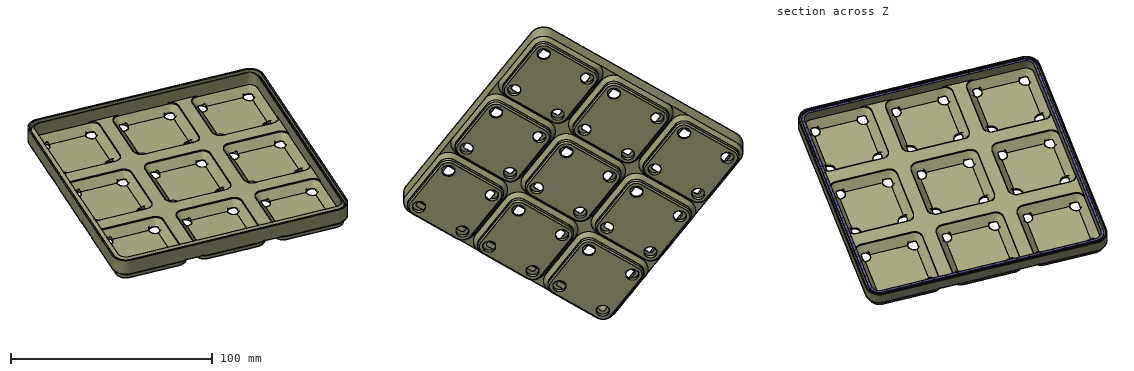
import cadquery as cq
CELL_COUNT = 3
CELL_PITCH = 42.0
EDGE_CLEARANCE = 1.0
TRAY_SIZE = CELL_COUNT * CELL_PITCH - EDGE_CLEARANCE
TRAY_HEIGHT = 12.75

FOOT_GAP = 0.5
FOOT_SIZE = CELL_PITCH - FOOT_GAP
FOOT_RADIUS = 7.5
FOOT_BASE_CHAMFER = 0.8
FOOT_STRAIGHT = 1.8
FOOT_TOP_CHAMFER = 2.15
FOOT_STRAIGHT_TOP_Z = FOOT_BASE_CHAMFER + FOOT_STRAIGHT
FOOT_HEIGHT = FOOT_STRAIGHT_TOP_Z + FOOT_TOP_CHAMFER

CORNER_RADIUS = FOOT_RADIUS - (EDGE_CLEARANCE - FOOT_GAP) / 2

WALL = 3.1
INNER_SIZE = TRAY_SIZE - 2 * WALL
INNER_RADIUS = CORNER_RADIUS - WALL
TRAY_FLOOR_Z = 5.75

RIM_WIDTH = 0.8
GROOVE_WIDTH = 0.75
RIDGE_INSET = RIM_WIDTH + GROOVE_WIDTH
RIDGE_SLOPE_HEIGHT = 1.7
GROOVE_STRAIGHT = 1.0
RIDGE_SLOPE_Z = TRAY_HEIGHT - RIDGE_SLOPE_HEIGHT
GROOVE_Z = RIDGE_SLOPE_Z - GROOVE_STRAIGHT

POCKET_SIZE = CELL_PITCH - EDGE_CLEARANCE - 2 * WALL
POCKET_RADIUS = INNER_RADIUS
POCKET_FLOOR_Z = 1.0
POCKET_TAPER = 4.0
POCKET_SLOPE_TOP_Z = POCKET_FLOOR_Z + POCKET_TAPER

HOLE_DIAMETER = 6.5
HOLE_DEPTH = 1.9
HOLE_OFFSET = 13.0


def rounded_block(size, corner_radius, bottom_z, top_z):
    """Square block centred on Z with rounded vertical edges."""
    block = cq.Workplane("XY").box(size, size, top_z - bottom_z, centered=(True, True, False))
    return block.edges("|Z").fillet(corner_radius).translate((0, 0, bottom_z))


def tapered_block(bottom_size, bottom_radius, widening, bottom_z, top_z):
    """Rounded square block that widens by the given amount on every side towards its top."""

    def section(growth):
        size = bottom_size + 2 * growth
        return cq.Sketch().rect(size, size).vertices().fillet(bottom_radius + growth)

    lower = section(0)
    upper = section(widening).moved(cq.Location(cq.Vector(0, 0, top_z - bottom_z)))
    return cq.Workplane("XY").workplane(offset=bottom_z).placeSketch(lower, upper).loft()


def make_foot():
    """Foot with a chamfered base, a straight band and a flared top."""
    straight_size = FOOT_SIZE - 2 * FOOT_TOP_CHAMFER
    straight_radius = FOOT_RADIUS - FOOT_TOP_CHAMFER
    base_size = straight_size - 2 * FOOT_BASE_CHAMFER
    base_radius = straight_radius - FOOT_BASE_CHAMFER
    base = tapered_block(base_size, base_radius, FOOT_BASE_CHAMFER, 0, FOOT_BASE_CHAMFER)
    middle = rounded_block(straight_size, straight_radius, FOOT_BASE_CHAMFER, FOOT_STRAIGHT_TOP_Z)
    top = tapered_block(
        straight_size, straight_radius, FOOT_TOP_CHAMFER, FOOT_STRAIGHT_TOP_Z, FOOT_HEIGHT
    )
    return base.union(middle).union(top)


def make_pocket():
    """Space removed from one cell above its floor."""
    floor_size = POCKET_SIZE - 2 * POCKET_TAPER
    floor_radius = POCKET_RADIUS - POCKET_TAPER
    slope = tapered_block(floor_size, floor_radius, POCKET_TAPER, POCKET_FLOOR_Z, POCKET_SLOPE_TOP_Z)
    upright = rounded_block(POCKET_SIZE, POCKET_RADIUS, POCKET_SLOPE_TOP_Z, TRAY_FLOOR_Z)
    return slope.union(upright)


def make_holes():
    """Four holes of one cell, from the underside of the foot upwards."""
    spacing = 2 * HOLE_OFFSET
    return cq.Workplane("XY").rarray(spacing, spacing, 2, 2).circle(HOLE_DIAMETER / 2).extrude(HOLE_DEPTH)


def make_groove():
    """Ring removed from the top of the wall, leaving a ridge that slopes up to the inside."""
    recess = rounded_block(TRAY_SIZE - 2 * RIM_WIDTH, CORNER_RADIUS - RIM_WIDTH, GROOVE_Z, TRAY_HEIGHT)
    ridge_size = TRAY_SIZE - 2 * RIDGE_INSET
    ridge_base = rounded_block(ridge_size, CORNER_RADIUS - RIDGE_INSET, GROOVE_Z, RIDGE_SLOPE_Z)
    slope_width = WALL - RIDGE_INSET
    slope = tapered_block(INNER_SIZE, INNER_RADIUS, slope_width, -TRAY_HEIGHT, -RIDGE_SLOPE_Z)
    return recess.cut(ridge_base).cut(slope.mirror("XY"))


def make_body():
    """Square tray above the feet, with its cavity and the groove in its wall."""
    block = rounded_block(TRAY_SIZE, CORNER_RADIUS, FOOT_HEIGHT, TRAY_HEIGHT)
    cavity = rounded_block(INNER_SIZE, INNER_RADIUS, TRAY_FLOOR_Z, TRAY_HEIGHT)
    return block.cut(cavity).cut(make_groove())


def at_every_cell(shape):
    """Copies of one shape, one at each cell centre."""
    first = -(CELL_COUNT - 1) / 2 * CELL_PITCH
    centres = [first + index * CELL_PITCH for index in range(CELL_COUNT)]
    return [shape.translate((x, y, 0)) for x in centres for y in centres]


result = make_body()
for foot in at_every_cell(make_foot()):
    result = result.union(foot)

result = result.intersect(rounded_block(TRAY_SIZE, CORNER_RADIUS, 0, TRAY_HEIGHT))

for cell_void in at_every_cell(make_pocket()) + at_every_cell(make_holes()):
    result = result.cut(cell_void)